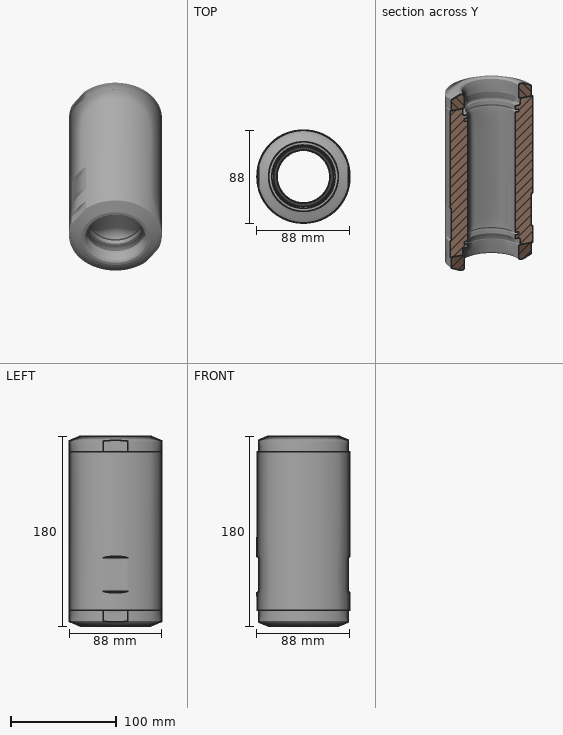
import cadquery as cq

length = 180.0
outer_dia = 88.0
flat_x = 42.5

cap_height = 15.0
cap_rim_height = 10.3
cap_rim_fillet = 0.5
cap_face_dia = 65.9
cap_bore_dia = 56.7
cap_mouth_dia = 60.0
cap_mouth_chamfer = (cap_mouth_dia - cap_bore_dia) / 2

tube_bore_dia = 50.0
seat_dia = 60.0
seat_depth = 22.0
seat_corner_chamfer = 0.81
groove_dia = 56.7
groove_top_depth = 26.3
groove_bottom_depth = 28.5

pocket_bottom_z = 33.0
pocket_top_z = 64.8
pocket_end_run = outer_dia / 2 - flat_x

tube_length = length - 2 * cap_height
middle_z = length / 2


def cylinder(diameter, bottom_z, height):
    return cq.Workplane("XY").workplane(offset=bottom_z).circle(diameter / 2).extrude(height)


def mirrored_to_other_end(body):
    return body.mirror("XY", (0, 0, middle_z))


def end_bore():
    """Cap seat and internal groove at the lower end of the tube."""
    seat = cylinder(seat_dia, cap_height, seat_depth - cap_height)
    seat = seat.faces(">Z").edges().chamfer(seat_corner_chamfer)
    groove = cylinder(groove_dia, groove_top_depth, groove_bottom_depth - groove_top_depth)
    return seat.union(groove)


def wrench_pocket():
    """Pocket with sloped ends on the +X side of the tube."""
    outer_x = outer_dia / 2
    return (
        cq.Workplane("XZ")
        .moveTo(flat_x, pocket_bottom_z)
        .lineTo(outer_x, pocket_bottom_z - pocket_end_run)
        .lineTo(outer_x, pocket_top_z + pocket_end_run)
        .lineTo(flat_x, pocket_top_z)
        .close()
        .extrude(outer_dia / 2, both=True)
    )


def make_tube():
    tube = cylinder(outer_dia, cap_height, tube_length)
    tube = tube.cut(cylinder(tube_bore_dia, cap_height, tube_length))
    lower_bore = end_bore()
    tube = tube.cut(lower_bore).cut(mirrored_to_other_end(lower_bore))
    pocket = wrench_pocket()
    return tube.cut(pocket).cut(pocket.mirror("YZ"))


def make_top_cap():
    """Ring with a conical outer face, a chamfered bore and two wrench flats."""
    base_z = length - cap_height
    ring = (
        cq.Workplane("XZ")
        .moveTo(cap_bore_dia / 2, base_z)
        .lineTo(outer_dia / 2, base_z)
        .lineTo(outer_dia / 2, base_z + cap_rim_height)
        .lineTo(cap_face_dia / 2, length)
        .lineTo(cap_mouth_dia / 2, length)
        .lineTo(cap_bore_dia / 2, length - cap_mouth_chamfer)
        .close()
        .revolve(360, (0, 0, 0), (0, 1, 0))
    )
    ring = ring.edges(cq.selectors.RadiusNthSelector(-1)).edges(">Z").fillet(cap_rim_fillet)
    between_flats = cq.Workplane("XY").box(2 * flat_x, outer_dia, cap_height)
    return ring.intersect(between_flats.translate((0, 0, base_z + cap_height / 2)))


tube = make_tube()
caps = []
for at_lower_end in (False, True):
    cap = make_top_cap()
    if at_lower_end:
        cap = mirrored_to_other_end(cap)
    caps.append(cap.val())

result = cq.Compound.makeCompound([tube.val(), *caps])